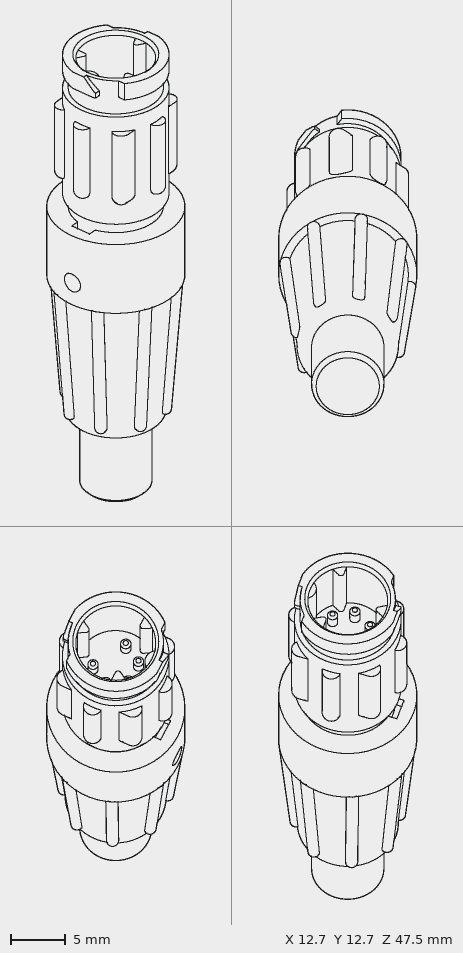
import cadquery as cq
import math

TOP_Z = 47.5
RING_BOTTOM_Z = 45.7
NUT_TOP_Z = 43.85
NUT_RIB_TOP_Z = 42.25
NUT_RIB_BOTTOM_Z = 35.1
NUT_BOTTOM_Z = 31.8
COLLAR_TOP_Z = 30.75
SET_SCREW_Z = 25.55
COLLAR_BOTTOM_Z = 23.15
GRIP_RIB_BOTTOM_Z = 9.3
FLANGE_BOTTOM_Z = 8.05

NUT_RADIUS = 4.9
NECK_RADIUS = 4.35
NUT_FILLET = 0.48
UNDERCUT_DEPTH = 0.48
UNDERCUT_TAPER = 0.95
COLLAR_RADIUS = 6.34
GRIP_TOP_RADIUS = 5.55
FLANGE_RADIUS = 4.65
FLANGE_FILLET = 0.45
CABLE_RADIUS = 3.32
CABLE_CHAMFER = 0.45

RING_FLAT = 4.75
SLOT_LEAD_X = 0.1
SLOT_STOP_X = 1.42
SLOT_LEAD_DROP = 1.3
SLOT_END_Y = 3.25

BORE_RADIUS = 3.65
BORE_DEPTH = 6.65
BORE_CHAMFER = 0.3
KEY_DROP = 0.4
KEY_COUNT = 3
KEY_APEX = 2.45
KEY_HALF_ANGLE = 30
KEY_TIP_RADIUS = 0.3
ROUND_KEY_CENTRE = 4.15
ROUND_KEY_RADIUS = 1.05
PIN_CIRCLE_RADIUS = 2.1
PIN_ANGLES = (0, 120, 180, 240, 300)
PIN_RADIUS = 0.48
PIN_HEIGHT = 1.42
PIN_CHAMFER = 0.25

RIB_COUNT = 8
RIB_STEP = 360 / RIB_COUNT

NUT_RIB_RADIUS = 0.85
NUT_RIB_CENTRE = 4.8

GRIP_RIB_RADIUS = 0.55
GRIP_RIB_TOP_CENTRE = 5.8
GRIP_RIB_BOTTOM_CENTRE = 4.75

KEYWAY_WIDTH = 2.1
KEYWAY_REACH = 5.1
KEYWAY_DEPTH = 1.2
SET_SCREW_RADIUS = 0.95
SET_SCREW_SEAT_RADIUS = 0.75
SET_SCREW_DEPTH = 1.75


def cylinder(radius, bottom_z, top_z):
    return cq.Workplane("XY").workplane(offset=bottom_z).circle(radius).extrude(top_z - bottom_z)


def turned_core():
    """Revolved blank from the cable stub up to the bayonet ring."""
    undercut_radius = NECK_RADIUS - UNDERCUT_DEPTH
    return (
        cq.Workplane("XZ")
        .moveTo(0, 0)
        .lineTo(CABLE_RADIUS - CABLE_CHAMFER, 0)
        .lineTo(CABLE_RADIUS, CABLE_CHAMFER)
        .lineTo(CABLE_RADIUS, FLANGE_BOTTOM_Z)
        .lineTo(FLANGE_RADIUS - FLANGE_FILLET, FLANGE_BOTTOM_Z)
        .radiusArc((FLANGE_RADIUS, FLANGE_BOTTOM_Z + FLANGE_FILLET), -FLANGE_FILLET)
        .lineTo(FLANGE_RADIUS, GRIP_RIB_BOTTOM_Z)
        .lineTo(GRIP_TOP_RADIUS, COLLAR_BOTTOM_Z)
        .lineTo(undercut_radius, COLLAR_BOTTOM_Z)
        .lineTo(undercut_radius, SET_SCREW_Z - UNDERCUT_TAPER)
        .lineTo(NECK_RADIUS, SET_SCREW_Z)
        .lineTo(NECK_RADIUS, NUT_BOTTOM_Z)
        .lineTo(NUT_RADIUS - NUT_FILLET, NUT_BOTTOM_Z)
        .radiusArc((NUT_RADIUS, NUT_BOTTOM_Z + NUT_FILLET), -NUT_FILLET)
        .lineTo(NUT_RADIUS, NUT_TOP_Z)
        .lineTo(NECK_RADIUS, NUT_TOP_Z)
        .lineTo(NECK_RADIUS, RING_BOTTOM_Z)
        .lineTo(NUT_RADIUS, RING_BOTTOM_Z)
        .lineTo(NUT_RADIUS, TOP_Z)
        .lineTo(0, TOP_Z)
        .close()
        .revolve(360, (0, 0, 0), (0, 1, 0))
    )


def ring_flat():
    """Block that trims the -Y side of the bayonet ring to a flat."""
    return (
        cq.Workplane("XY")
        .workplane(offset=RING_BOTTOM_Z)
        .center(0, -2 * RING_FLAT)
        .rect(2 * NUT_RADIUS, 2 * RING_FLAT)
        .extrude(TOP_Z - RING_BOTTOM_Z)
    )


def ring_slot():
    """Bayonet entry slot on the -Y side, with a sloped lead-in, cut down to the neck radius."""
    outline = (
        cq.Workplane("XZ", origin=(0, -SLOT_END_Y, 0))
        .moveTo(SLOT_LEAD_X, TOP_Z)
        .lineTo(SLOT_STOP_X, TOP_Z - SLOT_LEAD_DROP)
        .lineTo(SLOT_STOP_X, RING_BOTTOM_Z)
        .lineTo(NUT_RADIUS, RING_BOTTOM_Z)
        .lineTo(NUT_RADIUS, TOP_Z)
        .close()
        .extrude(NUT_RADIUS)
    )
    return outline.cut(cylinder(NECK_RADIUS, RING_BOTTOM_Z, TOP_Z))


def contact_bore():
    """Round chamber with a chamfered mouth."""
    bore = cylinder(BORE_RADIUS, TOP_Z - BORE_DEPTH, TOP_Z)
    mouth = (
        cq.Workplane("XZ")
        .moveTo(0, TOP_Z)
        .lineTo(BORE_RADIUS + BORE_CHAMFER, TOP_Z)
        .lineTo(BORE_RADIUS, TOP_Z - KEY_DROP)
        .lineTo(0, TOP_Z - KEY_DROP)
        .close()
        .revolve(360, (0, 0, 0), (0, 1, 0))
    )
    return bore.union(mouth)


def bore_keys():
    """Three round-nosed wedge keys and one wide round key, merged into the bore wall."""
    floor_z = TOP_Z - BORE_DEPTH
    height = BORE_DEPTH - KEY_DROP
    root = BORE_RADIUS + BORE_CHAMFER / 2
    half_angle = math.radians(KEY_HALF_ANGLE)
    root_half_width = (root - KEY_APEX) * math.tan(half_angle)
    tip_centre = KEY_APEX + KEY_TIP_RADIUS / math.sin(half_angle)
    tangent_x = tip_centre - KEY_TIP_RADIUS * math.sin(half_angle)
    tangent_y = KEY_TIP_RADIUS * math.cos(half_angle)
    wedge = (
        cq.Workplane("XY")
        .workplane(offset=floor_z)
        .moveTo(root, -root_half_width)
        .lineTo(root, root_half_width)
        .lineTo(tangent_x, tangent_y)
        .threePointArc((tip_centre - KEY_TIP_RADIUS, 0), (tangent_x, -tangent_y))
        .close()
        .extrude(height)
    )
    keys = (
        cylinder(ROUND_KEY_RADIUS, floor_z, floor_z + height)
        .translate((0, -ROUND_KEY_CENTRE, 0))
        .intersect(cylinder(root, floor_z, TOP_Z))
    )
    for index in range(KEY_COUNT):
        angle = 90 + index * 360 / KEY_COUNT
        keys = keys.union(wedge.rotate((0, 0, 0), (0, 0, 1), angle))
    return keys


def contact_pin(angle):
    """Contact pin standing on the bore floor at the given angle."""
    floor_z = TOP_Z - BORE_DEPTH
    x = PIN_CIRCLE_RADIUS * math.cos(math.radians(angle))
    y = PIN_CIRCLE_RADIUS * math.sin(math.radians(angle))
    pin = cylinder(PIN_RADIUS, floor_z, floor_z + PIN_HEIGHT)
    return pin.faces(">Z").chamfer(PIN_CHAMFER).translate((x, y, 0))


def nut_rib(angle):
    """Half-round rib with a ball end; the diagonal ribs also get a flat side facing along X."""
    x = NUT_RIB_CENTRE * math.cos(math.radians(angle))
    y = NUT_RIB_CENTRE * math.sin(math.radians(angle))
    ball = cq.Workplane("XY").sphere(NUT_RIB_RADIUS).translate((x, y, NUT_RIB_BOTTOM_Z))
    rod = cylinder(NUT_RIB_RADIUS, NUT_RIB_BOTTOM_Z, NUT_RIB_TOP_Z).translate((x, y, 0))
    rib = rod.union(ball)
    if angle % 90 == 0:
        return rib
    side = (
        cq.Workplane("XZ", origin=(x, y, 0))
        .moveTo(-NUT_RIB_RADIUS, NUT_RIB_TOP_Z)
        .lineTo(NUT_RIB_RADIUS, NUT_RIB_TOP_Z)
        .lineTo(NUT_RIB_RADIUS, NUT_RIB_BOTTOM_Z)
        .threePointArc((0, NUT_RIB_BOTTOM_Z - NUT_RIB_RADIUS), (-NUT_RIB_RADIUS, NUT_RIB_BOTTOM_Z))
        .close()
        .extrude(math.copysign(2 * NUT_RIB_RADIUS, y))
    )
    return rib.union(side)


def grip_rib(angle):
    """Round rib that follows the grip taper, with a ball at its lower end."""
    lower = cq.Vector(GRIP_RIB_BOTTOM_CENTRE, 0, GRIP_RIB_BOTTOM_Z)
    upper = cq.Vector(GRIP_RIB_TOP_CENTRE, 0, COLLAR_BOTTOM_Z)
    axis = upper - lower
    rod_length = axis.Length + GRIP_RIB_RADIUS
    rod = cq.Workplane(cq.Solid.makeCylinder(GRIP_RIB_RADIUS, rod_length, lower, axis))
    ball = cq.Workplane("XY").sphere(GRIP_RIB_RADIUS).translate(lower)
    rib = rod.union(ball).intersect(cylinder(2 * COLLAR_RADIUS, 0, COLLAR_BOTTOM_Z))
    return rib.rotate((0, 0, 0), (0, 0, 1), angle)


def build_plug():
    """Plug core: bayonet ring, coupling nut, neck, grip and cable stub."""
    plug = turned_core()
    for turn in (0, 180):
        plug = plug.cut(ring_flat().rotate((0, 0, 0), (0, 0, 1), turn))
        plug = plug.cut(ring_slot().rotate((0, 0, 0), (0, 0, 1), turn))
    for index in range(RIB_COUNT):
        plug = plug.union(nut_rib(index * RIB_STEP))
        plug = plug.union(grip_rib((index + 0.5) * RIB_STEP))
    plug = plug.cut(contact_bore()).union(bore_keys())
    for angle in PIN_ANGLES:
        plug = plug.union(contact_pin(angle))
    return plug


def build_collar():
    """Collar ring around the neck, with two keyways and a stepped set-screw hole."""
    collar = cylinder(COLLAR_RADIUS, COLLAR_BOTTOM_Z, COLLAR_TOP_Z)
    collar = collar.cut(cylinder(NECK_RADIUS, COLLAR_BOTTOM_Z, COLLAR_TOP_Z))
    keyways = (
        cq.Workplane("XY")
        .workplane(offset=COLLAR_TOP_Z - KEYWAY_DEPTH)
        .rect(KEYWAY_WIDTH, 2 * KEYWAY_REACH)
        .extrude(KEYWAY_DEPTH)
    )
    screw_face = cq.Workplane("XZ", origin=(0, -COLLAR_RADIUS, SET_SCREW_Z))
    screw_hole = screw_face.circle(SET_SCREW_RADIUS).extrude(-SET_SCREW_DEPTH)
    screw_seat = screw_face.circle(SET_SCREW_SEAT_RADIUS).extrude(-COLLAR_RADIUS)
    return collar.cut(keyways).cut(screw_hole).cut(screw_seat)


plug = build_plug()
collar = build_collar()

result = cq.Compound.makeCompound([plug.solids().val(), collar.solids().val()])